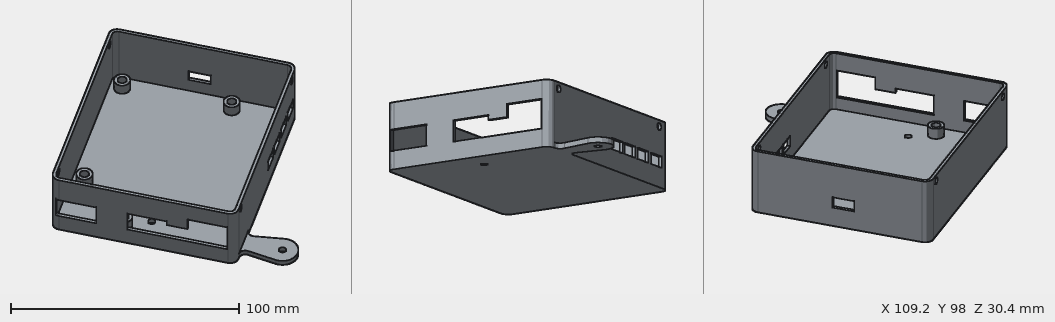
import cadquery as cq
import math

total_length = 109.2
box_length = 84.6
box_width = 98.0
box_height = 30.4
wall = 1.5
floor_thickness = 2.5
corner_radius = 3.8

screw_hole_diameter = 3.2
floor_hole_center = (42.3, 13.5)

standoff_diameter = 7.2
standoff_hole_diameter = 4.0
standoff_height = 5.0
standoff_centers = [(7.2, 90.1), (57.1, 90.1), (7.2, 29.2), (31.2, 8.2)]

rim_hole_drop = 3.0
rim_hole_end_distance = 7.8

tab_end_radius = 7.0
tab_center_y = 12.0
tab_taper = math.radians(9)
tab_root_radius = 2.8

front_sill = 8.4
front_head = 18.1
small_opening_left = 2.2
small_opening_right = 20.8
large_opening_left = 34.9
large_opening_right = 80.4
notch_left = 52.9
notch_right = 62.4
notch_head = 16.0
tall_head = 21.8

port_sill = 9.2
back_port_left = 35.6
back_port_length = 10.2
back_port_height = 5.1
side_port_width = 8.5
side_port_height = 5.1
side_port_centers = [87.8, 76.9, 66.1, 55.9]


def make_tray():
    outer = cq.Workplane("XY").box(box_length, box_width, box_height, centered=False)
    outer = outer.edges("|Z").fillet(corner_radius)
    cavity = cq.Workplane("XY").box(
        box_length - 2 * wall, box_width - 2 * wall, box_height, centered=False
    )
    cavity = cavity.edges("|Z").fillet(corner_radius - wall)
    return outer.cut(cavity.translate((wall, wall, floor_thickness)))


def make_tab():
    """Tapered tab with a round end and concave fillets where it meets the wall."""
    end_x = total_length - tab_end_radius
    sine = math.sin(tab_taper)
    cosine = math.cos(tab_taper)
    end_tangent_x = end_x - tab_end_radius * sine
    end_tangent_y = tab_end_radius * cosine
    root_tangent_x = box_length + tab_root_radius * (1 + sine)
    root_tangent_y = end_tangent_y - (end_tangent_x - root_tangent_x) * math.tan(tab_taper)
    root_center_x = box_length + tab_root_radius
    root_center_y = root_tangent_y + tab_root_radius * cosine
    middle_angle = (math.pi + 1.5 * math.pi + tab_taper) / 2
    root_middle_x = root_center_x + tab_root_radius * math.cos(middle_angle)
    root_middle_y = root_center_y + tab_root_radius * math.sin(middle_angle)
    inner_x = box_length - wall
    outline = (
        cq.Workplane("XY", origin=(0, tab_center_y, 0))
        .moveTo(inner_x, root_center_y)
        .lineTo(box_length, root_center_y)
        .threePointArc((root_middle_x, root_middle_y), (root_tangent_x, root_tangent_y))
        .lineTo(end_tangent_x, end_tangent_y)
        .threePointArc((total_length, 0), (end_tangent_x, -end_tangent_y))
        .lineTo(root_tangent_x, -root_tangent_y)
        .threePointArc((root_middle_x, -root_middle_y), (box_length, -root_center_y))
        .lineTo(inner_x, -root_center_y)
        .close()
    )
    return outline.extrude(floor_thickness)


def make_standoffs():
    return (
        cq.Workplane("XY", origin=(0, 0, floor_thickness))
        .pushPoints(standoff_centers)
        .circle(standoff_diameter / 2)
        .circle(standoff_hole_diameter / 2)
        .extrude(standoff_height)
    )


def make_front_openings():
    small = cq.Workplane("XY").box(
        small_opening_right - small_opening_left,
        corner_radius,
        front_head - front_sill,
        centered=False,
    )
    small = small.translate((small_opening_left, 0, front_sill))
    large_outline = [
        (large_opening_left, front_sill),
        (large_opening_right, front_sill),
        (large_opening_right, tall_head),
        (notch_right, tall_head),
        (notch_right, notch_head),
        (notch_left, notch_head),
        (notch_left, front_head),
        (large_opening_left, front_head),
    ]
    large = cq.Workplane("XZ").polyline(large_outline).close().extrude(-corner_radius)
    return small.union(large)


def make_ports():
    ports = cq.Workplane("XY").box(back_port_length, wall, back_port_height, centered=False)
    ports = ports.translate((back_port_left, box_width - wall, port_sill))
    for center_y in side_port_centers:
        port = cq.Workplane("XY").box(wall, side_port_width, side_port_height, centered=False)
        corner_y = center_y - side_port_width / 2
        ports = ports.union(port.translate((box_length - wall, corner_y, port_sill)))
    return ports


def make_screw_holes():
    tab_hole_center = (total_length - tab_end_radius, tab_center_y)
    floor_holes = (
        cq.Workplane("XY")
        .pushPoints([floor_hole_center, tab_hole_center])
        .circle(screw_hole_diameter / 2)
        .extrude(floor_thickness)
    )
    rim_z = box_height - rim_hole_drop
    rim_holes = (
        cq.Workplane("YZ")
        .pushPoints([(rim_hole_end_distance, rim_z), (box_width - rim_hole_end_distance, rim_z)])
        .circle(screw_hole_diameter / 2)
        .extrude(box_length)
    )
    return floor_holes.union(rim_holes)


result = (
    make_tray()
    .union(make_tab())
    .union(make_standoffs())
    .cut(make_front_openings())
    .cut(make_ports())
    .cut(make_screw_holes())
)